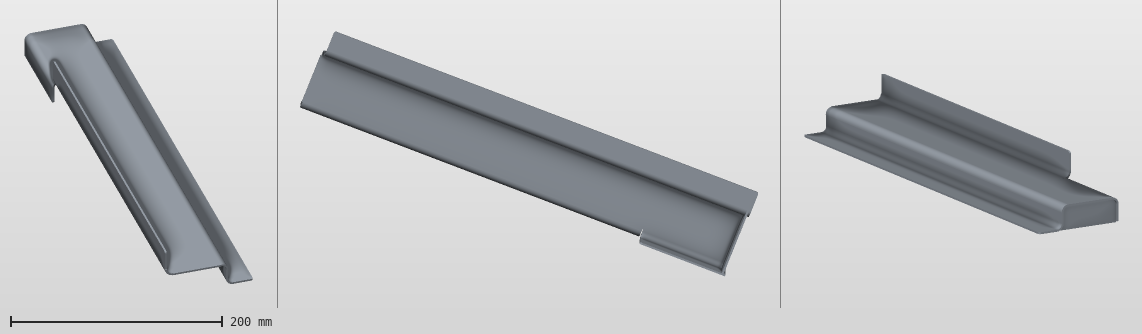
import cadquery as cq

LENGTH = 432.5
WIDTH = 88.0
HEIGHT = 50.0

GAUGE = 1.85
INNER_RADIUS = 5.0
OUTER_RADIUS = INNER_RADIUS + GAUGE
DECK_TOP = 25.0
DECK_BOTTOM = DECK_TOP - GAUGE
WEB_REAR = 62.5
WEB_FRONT = WEB_REAR - GAUGE
APRON_BOTTOM = 1.5

SLIT_START = 86.5
SLIT_WIDTH = 1.0
SLIT_END = SLIT_START + SLIT_WIDTH
SLIT_DEPTH = OUTER_RADIUS + 2.0

END_SETBACK = 1.7
FLANGE_END = LENGTH - END_SETBACK
BEND_END = LENGTH - END_SETBACK / 2
FLANGE_CORNER_RADIUS = 2.0
FRONT_CORNER_RADIUS = 2.0
PLATE_RECESS = 2.0

FOOT_BEND = (WEB_REAR + INNER_RADIUS, OUTER_RADIUS)
REAR_BEND = (WEB_REAR - OUTER_RADIUS, DECK_TOP - OUTER_RADIUS)
APRON_BEND = (OUTER_RADIUS, DECK_TOP - OUTER_RADIUS)
UPSTAND_BEND = (OUTER_RADIUS, DECK_TOP + INNER_RADIUS)


def box(x_range, y_range, z_range):
    """Box between the given limits."""
    limits = (x_range, y_range, z_range)
    sizes = [high - low for low, high in limits]
    corner = tuple(low for low, high in limits)
    return cq.Workplane("XY").box(*sizes, centered=False).translate(corner)


def bend(x_range, axis, y_side, z_side):
    """Quarter-ring bend along X, in the quadrant of its axis given by the two signs."""
    start, end = x_range
    ring = (
        cq.Workplane("YZ", origin=(start, *axis))
        .circle(OUTER_RADIUS)
        .circle(INNER_RADIUS)
        .extrude(end - start)
    )
    y_limits = sorted((axis[0], axis[0] + y_side * OUTER_RADIUS))
    z_limits = sorted((axis[1], axis[1] + z_side * OUTER_RADIUS))
    return ring.intersect(box(x_range, y_limits, z_limits))


def make_rail():
    """Folded rail: rear flange, web, deck, front apron and front upstand."""
    flange_span = (0, FLANGE_END)
    flange = box(flange_span, (FOOT_BEND[0], WIDTH), (0, GAUGE))
    flange = flange.edges("|Z and >Y").fillet(FLANGE_CORNER_RADIUS)

    apron_span = (0, SLIT_START)
    apron = box(apron_span, (0, GAUGE), (APRON_BOTTOM, APRON_BEND[1]))
    apron = apron.edges("|Y and <Z and >X").fillet(FRONT_CORNER_RADIUS)

    upstand = box((SLIT_END, FLANGE_END), (0, GAUGE), (UPSTAND_BEND[1], HEIGHT))
    upstand = upstand.edges("|Y and >Z").fillet(FRONT_CORNER_RADIUS)

    sheet = box((0, LENGTH), (OUTER_RADIUS, REAR_BEND[0]), (DECK_BOTTOM, DECK_TOP))
    for piece in (
        flange,
        bend(flange_span, FOOT_BEND, -1, -1),
        box(flange_span, (WEB_FRONT, WEB_REAR), (FOOT_BEND[1], REAR_BEND[1])),
        bend((0, BEND_END), REAR_BEND, 1, 1),
        bend(apron_span, APRON_BEND, -1, 1),
        apron,
        bend((SLIT_END, BEND_END), UPSTAND_BEND, -1, -1),
        upstand,
    ):
        sheet = sheet.union(piece)

    slit = box((SLIT_START, SLIT_END), (0, SLIT_DEPTH), (0, HEIGHT))
    return sheet.cut(slit)


def make_end_plate():
    """Flat plate set just inside the -X end that closes it and follows the inside of the folds."""
    diagonal = INNER_RADIUS * 0.5 ** 0.5
    foot_diagonal = OUTER_RADIUS * 0.5 ** 0.5
    return (
        cq.Workplane("YZ", origin=(PLATE_RECESS, 0, 0))
        .moveTo(GAUGE, 0)
        .lineTo(GAUGE, APRON_BEND[1])
        .threePointArc(
            (APRON_BEND[0] - diagonal, APRON_BEND[1] + diagonal),
            (APRON_BEND[0], DECK_BOTTOM),
        )
        .lineTo(REAR_BEND[0], DECK_BOTTOM)
        .threePointArc(
            (REAR_BEND[0] + diagonal, REAR_BEND[1] + diagonal),
            (WEB_FRONT, REAR_BEND[1]),
        )
        .lineTo(WEB_FRONT, FOOT_BEND[1])
        .threePointArc(
            (FOOT_BEND[0] - foot_diagonal, FOOT_BEND[1] - foot_diagonal),
            (FOOT_BEND[0], 0),
        )
        .close()
        .extrude(GAUGE)
    )


rail = make_rail()
end_plate = make_end_plate()
result = cq.Compound.makeCompound([*rail.vals(), end_plate.val()])